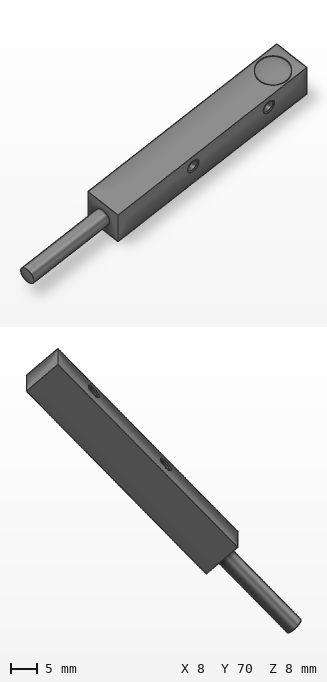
import cadquery as cq

total_length = 70.0
cable_length = 20.0
body_length = total_length - cable_length
body_side = 8.0
cable_diameter = 3.6

face_diameter = 7.0
face_depth = 0.2
face_from_end = 5.0

hole_diameter = 2.5
countersink_diameter = 3.0
countersink_depth = (countersink_diameter - hole_diameter) / 2
hole_from_top = 3.0
first_hole_from_end = 10.0
hole_spacing = 20.0
hole_count = 2

end_y = total_length / 2
cable_exit_y = end_y - body_length
half_side = body_side / 2


def make_body():
    body = cq.Workplane("XY").box(body_side, body_length, body_side)
    return body.translate((0, end_y - body_length / 2, 0))


def make_cable():
    outline = cq.Workplane("XZ", origin=(0, cable_exit_y, 0)).circle(cable_diameter / 2)
    return outline.extrude(cable_length)


def make_face_recess():
    outline = cq.Workplane("XY", origin=(0, end_y - face_from_end, half_side))
    return outline.circle(face_diameter / 2).extrude(-face_depth)


def make_mounting_hole(y):
    """A through hole along X, countersunk at both ends, as a solid of revolution."""
    hole_radius = hole_diameter / 2
    countersink_radius = countersink_diameter / 2
    profile = (
        cq.Workplane("XY")
        .moveTo(-half_side, 0)
        .lineTo(-half_side, countersink_radius)
        .lineTo(-half_side + countersink_depth, hole_radius)
        .lineTo(half_side - countersink_depth, hole_radius)
        .lineTo(half_side, countersink_radius)
        .lineTo(half_side, 0)
        .close()
    )
    hole = profile.revolve(360, (0, 0, 0), (1, 0, 0))
    return hole.translate((0, y, half_side - hole_from_top))


result = make_body().union(make_cable()).cut(make_face_recess())
for index in range(hole_count):
    result = result.cut(make_mounting_hole(end_y - first_hole_from_end - index * hole_spacing))